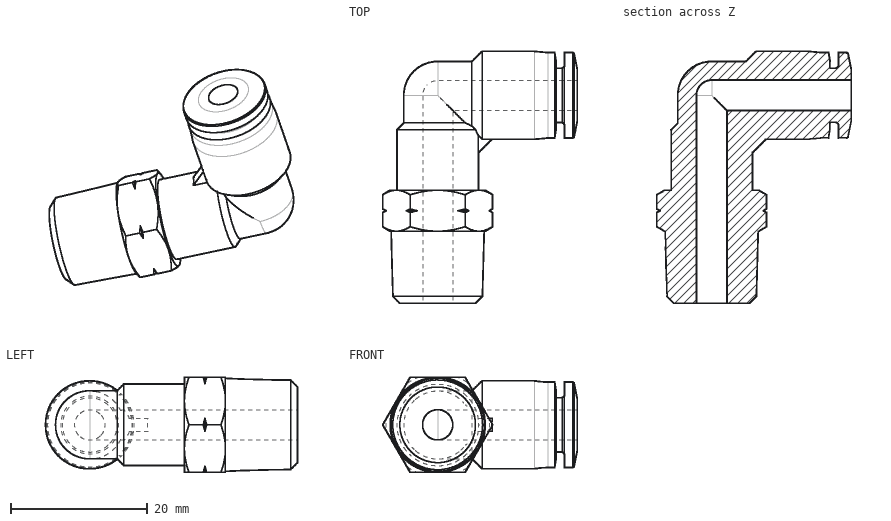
import cadquery as cq
import math


elbow_radius = 5.0
bore_radius = 2.22

shank_radius = 6.0
shoulder_start = 4.05
shoulder_end = shoulder_start + shank_radius - elbow_radius
thread_top_radius = 6.85
thread_bottom_radius = 6.6
thread_tip_radius = 5.55
leg_length = 30.52
thread_chamfer_start = leg_length - (thread_bottom_radius - thread_tip_radius)

hex_width = 14.0
hex_start = 13.9
hex_end = 19.95
hex_apothem = hex_width / 2
hex_corner_radius = hex_apothem / math.cos(math.pi / 6)
hex_bevel_length = 0.65
hex_groove_depth = 0.48
hex_groove_half_width = 0.25

collar_radius = 6.48
collar_cone_start = 5.05
collar_cone_end = collar_cone_start + collar_radius - elbow_radius
collar_taper_start = 14.15
collar_taper_end = 16.15
collar_rim_radius = 6.3
collar_rim_end = 17.15
collar_face = 17.4
collar_face_radius = 5.0
neck_radius = 4.0
neck_flare_start = 18.25
neck_flare_radius = 4.25

ring_start = 18.57
ring_rim_end = 19.8
ring_edge_position = 20.0
ring_edge_radius = 6.18
ring_end = 20.5
ring_face_radius = 3.8

web_thickness = 1.9
web_reach = 14.43
web_inset = 3.7


def revolve_along_y(profile):
    """Revolve (radius, distance along -Y) points about the Y axis."""
    points = [(radius, -distance) for radius, distance in profile]
    return cq.Workplane("XY").polyline(points).close().revolve(360, (0, 0), (0, 1))


def revolve_along_x(profile):
    """Revolve (distance along +X, radius) points about the X axis."""
    return cq.Workplane("XY").polyline(profile).close().revolve(360, (0, 0), (1, 0))


def make_threaded_leg():
    return revolve_along_y([
        (0, 0),
        (elbow_radius, 0),
        (elbow_radius, shoulder_start),
        (shank_radius, shoulder_end),
        (shank_radius, hex_end),
        (thread_top_radius, hex_end),
        (thread_bottom_radius, thread_chamfer_start),
        (thread_tip_radius, leg_length),
        (0, leg_length),
    ])


def make_hexagon():
    """Hexagon with beveled corners and a V groove around its middle."""
    middle = (hex_start + hex_end) / 2
    prism = (
        cq.Workplane("XZ", origin=(0, -hex_start, 0))
        .polygon(6, 2 * hex_corner_radius)
        .extrude(hex_end - hex_start)
    )
    envelope = revolve_along_y([
        (0, hex_start),
        (hex_apothem, hex_start),
        (hex_corner_radius, hex_start + hex_bevel_length),
        (hex_corner_radius, middle - hex_groove_half_width),
        (hex_corner_radius - hex_groove_depth, middle),
        (hex_corner_radius, middle + hex_groove_half_width),
        (hex_corner_radius, hex_end - hex_bevel_length),
        (hex_apothem, hex_end),
        (0, hex_end),
    ])
    return prism.intersect(envelope)


def make_tube_leg():
    return revolve_along_x([
        (0, 0),
        (0, elbow_radius),
        (collar_cone_start, elbow_radius),
        (collar_cone_end, collar_radius),
        (collar_taper_start, collar_radius),
        (collar_taper_end, collar_rim_radius),
        (collar_rim_end, collar_rim_radius),
        (collar_face, collar_face_radius),
        (collar_face, neck_radius),
        (neck_flare_start, neck_radius),
        (ring_start, neck_flare_radius),
        (ring_start, collar_rim_radius),
        (ring_rim_end, collar_rim_radius),
        (ring_edge_position, ring_edge_radius),
        (ring_end, ring_face_radius),
        (ring_end, 0),
    ])


def make_web():
    """Triangular web whose sloping edge joins the shank to the collar."""
    far_end = web_reach - web_inset
    return (
        cq.Workplane("XY")
        .polyline([(web_inset, -web_inset), (far_end, -web_inset), (web_inset, -far_end)])
        .close()
        .extrude(web_thickness / 2, both=True)
    )


def make_bore():
    """Passage along both legs with a spherical corner at the elbow."""
    thread_bore = cq.Workplane("XZ").circle(bore_radius).extrude(leg_length)
    tube_bore = cq.Workplane("YZ").circle(bore_radius).extrude(ring_end)
    return thread_bore.union(tube_bore).union(cq.Workplane("XY").sphere(bore_radius))


result = (
    make_threaded_leg()
    .union(make_tube_leg())
    .union(cq.Workplane("XY").sphere(elbow_radius))
    .union(make_hexagon())
    .union(make_web())
    .cut(make_bore())
)